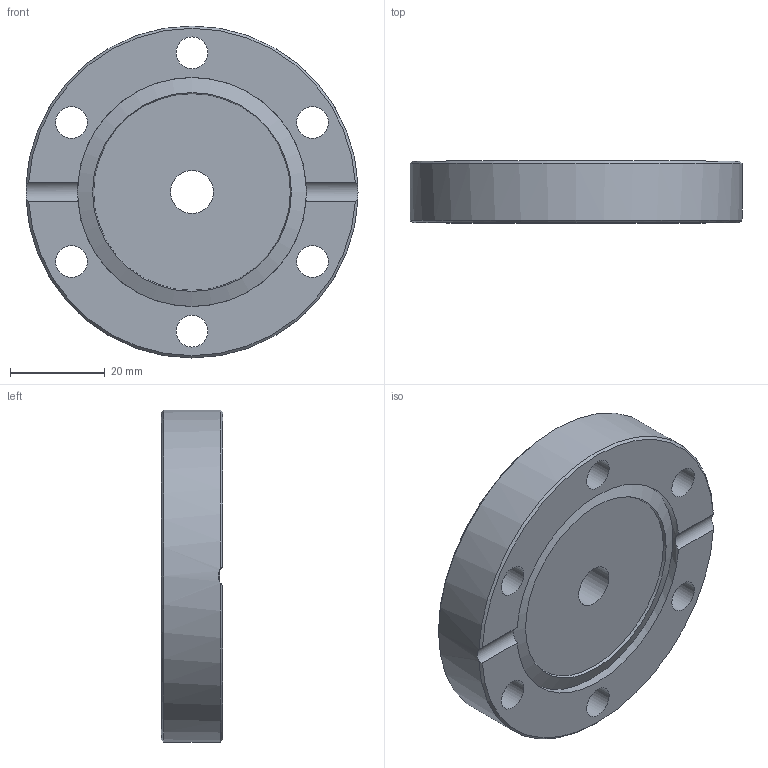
import cadquery as cq
import math

FLANGE_DIAMETER = 70.0
FLANGE_THICKNESS = 13.0
RIM_CHAMFER = 0.5

RECESS_DIAMETER = 48.3
KNIFE_EDGE_DIAMETER = 41.9
KNIFE_EDGE_DEPTH = 0.6
KNIFE_FLANK_ANGLE = 20.0
INNER_FLOOR_DEPTH = 1.2
FLANK_SLOPE = math.tan(math.radians(KNIFE_FLANK_ANGLE))
RECESS_DEPTH = KNIFE_EDGE_DEPTH + FLANK_SLOPE * (RECESS_DIAMETER - KNIFE_EDGE_DIAMETER) / 2
INNER_FLOOR_DIAMETER = KNIFE_EDGE_DIAMETER - 2 * FLANK_SLOPE * (INNER_FLOOR_DEPTH - KNIFE_EDGE_DEPTH)

CENTRE_HOLE_DIAMETER = 9.0
BOLT_COUNT = 6
BOLT_HOLE_DIAMETER = 6.7
BOLT_CIRCLE_DIAMETER = 58.7
FIRST_BOLT_ANGLE = 90.0

GROOVE_DIAMETER = 5.0
GROOVE_DEPTH = 1.0


def cylinder_along_y(diameter, length):
    """Solid cylinder from Y = 0 to Y = length."""
    return cq.Workplane("XZ").circle(diameter / 2).extrude(-length)


def flange_blank():
    """Plain disc with both rims chamfered."""
    return cylinder_along_y(FLANGE_DIAMETER, FLANGE_THICKNESS).edges().chamfer(RIM_CHAMFER)


def sealing_recess():
    """Revolved cutter that leaves a sloped knife edge around a flat inner floor."""
    return (
        cq.Workplane("XY")
        .moveTo(0, 0)
        .lineTo(RECESS_DIAMETER / 2, 0)
        .lineTo(RECESS_DIAMETER / 2, RECESS_DEPTH)
        .lineTo(KNIFE_EDGE_DIAMETER / 2, KNIFE_EDGE_DEPTH)
        .lineTo(INNER_FLOOR_DIAMETER / 2, INNER_FLOOR_DEPTH)
        .lineTo(0, INNER_FLOOR_DEPTH)
        .close()
        .revolve(360, (0, 0, 0), (0, 1, 0))
    )


def bolt_holes():
    """Ring of through-hole cutters."""
    return (
        cq.Workplane("XZ")
        .polarArray(BOLT_CIRCLE_DIAMETER / 2, FIRST_BOLT_ANGLE, 360, BOLT_COUNT)
        .circle(BOLT_HOLE_DIAMETER / 2)
        .extrude(-FLANGE_THICKNESS)
    )


def leak_check_groove(side):
    """Groove cutter from the recess wall to the rim; side is +1 or -1 along X."""
    axis_y = GROOVE_DEPTH - GROOVE_DIAMETER / 2
    bar_start = (RECESS_DIAMETER / 2 + KNIFE_EDGE_DIAMETER / 2) / 2
    bar_length = FLANGE_DIAMETER / 2 - bar_start
    return (
        cq.Workplane("YZ", origin=(side * bar_start, 0, 0))
        .center(axis_y, 0)
        .circle(GROOVE_DIAMETER / 2)
        .extrude(side * bar_length)
    )


result = flange_blank().cut(sealing_recess())
result = result.cut(cylinder_along_y(CENTRE_HOLE_DIAMETER, FLANGE_THICKNESS))
result = result.cut(bolt_holes())
for side in (-1, 1):
    result = result.cut(leak_check_groove(side))